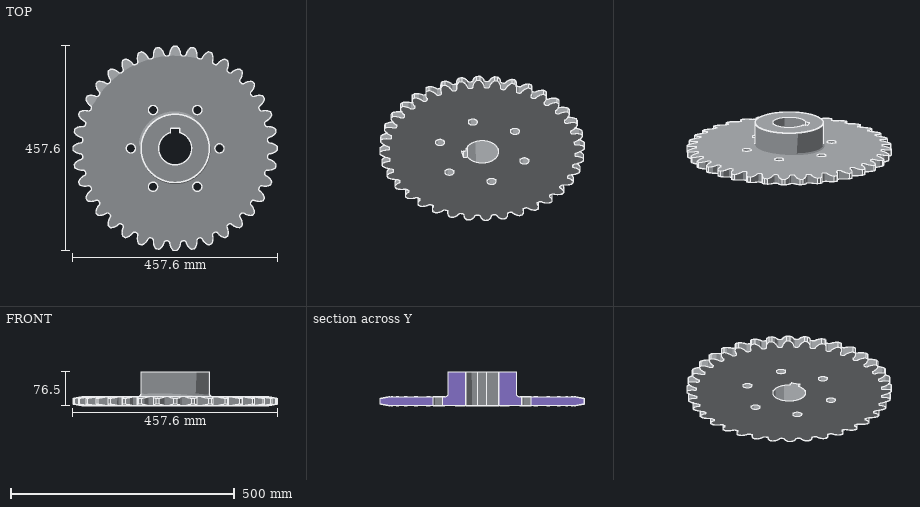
import cadquery as cq
import math

tooth_count = 36
tip_radius = 228.8
root_radius = 207.5
plate_thickness = 21.0

tip_width = 7.5
root_width = 24.5
flank_radius = 25.5
root_fillet = 5.0
cutter_overshoot = 4.5

bevel_start_radius = 207.0
tip_thickness = 13.0

hub_radius = 77.0
total_height = 76.5
hub_fillet = 6.5
hub_chamfer = 1.0

bore_diameter = 73.0
keyway_width = 20.0
keyway_top = 45.0

bolt_count = 6
bolt_circle_diameter = 198.0
bolt_hole_diameter = 20.0


def make_blank():
    """Revolve the plate, its bevelled rim and the hub as one body."""
    bevel_depth = (plate_thickness - tip_thickness) / 2
    corner_offset = hub_fillet * (1 - math.sqrt(0.5))
    profile = (
        cq.Workplane("XZ")
        .lineTo(bevel_start_radius, 0)
        .lineTo(tip_radius, bevel_depth)
        .lineTo(tip_radius, plate_thickness - bevel_depth)
        .lineTo(bevel_start_radius, plate_thickness)
        .lineTo(hub_radius + hub_fillet, plate_thickness)
        .threePointArc(
            (hub_radius + corner_offset, plate_thickness + corner_offset),
            (hub_radius, plate_thickness + hub_fillet),
        )
        .lineTo(hub_radius, total_height - hub_chamfer)
        .lineTo(hub_radius - hub_chamfer, total_height)
        .lineTo(0, total_height)
        .close()
    )
    return profile.revolve(360, (0, 0, 0), (0, 1, 0))


def point_beside_gap(radius, tooth_width):
    """Point on the +X side of a gap centred on +Y, where the next tooth has the given width."""
    angle = math.pi / tooth_count - math.asin(tooth_width / 2 / radius)
    return radius * math.sin(angle), radius * math.cos(angle)


def make_tooth_gap():
    """Cutter for one gap, centred on the +Y axis."""
    root_x, root_y = point_beside_gap(root_radius, root_width)
    tip_x, tip_y = point_beside_gap(tip_radius, tip_width)
    outer_y = tip_radius + cutter_overshoot
    gap = (
        cq.Workplane("XY")
        .moveTo(-tip_x, outer_y)
        .lineTo(-tip_x, tip_y)
        .radiusArc((-root_x, root_y), flank_radius)
        .threePointArc((0, root_radius), (root_x, root_y))
        .radiusArc((tip_x, tip_y), flank_radius)
        .lineTo(tip_x, outer_y)
        .close()
        .extrude(plate_thickness)
    )
    for corner_x in (-root_x, root_x):
        corner = cq.NearestToPointSelector((corner_x, root_y, plate_thickness / 2))
        gap = gap.edges("|Z").edges(corner).fillet(root_fillet)
    return gap


def cut_teeth(body):
    """Cut every gap, leaving a tooth centred on each of the X and Y axes."""
    pitch_angle = 360 / tooth_count
    gap = make_tooth_gap().val()
    turned_gaps = [
        gap.rotate(cq.Vector(0, 0, 0), cq.Vector(0, 0, 1), (index + 0.5) * pitch_angle)
        for index in range(tooth_count)
    ]
    return body.cut(cq.Workplane(cq.Compound.makeCompound(turned_gaps)))


def cut_bore(body):
    """Cut the through bore and the keyway on its +Y side."""
    bore = cq.Workplane("XY").circle(bore_diameter / 2).extrude(total_height)
    keyway = cq.Workplane("XY").box(
        keyway_width, keyway_top, total_height, centered=(True, False, False)
    )
    return body.cut(bore).cut(keyway)


def cut_bolt_holes(body):
    """Drill the ring of plain holes through the plate, the first on the +X axis."""
    holes = (
        cq.Workplane("XY")
        .polarArray(bolt_circle_diameter / 2, 0, 360, bolt_count)
        .circle(bolt_hole_diameter / 2)
        .extrude(plate_thickness)
    )
    return body.cut(holes)


result = cut_bolt_holes(cut_bore(cut_teeth(make_blank())))